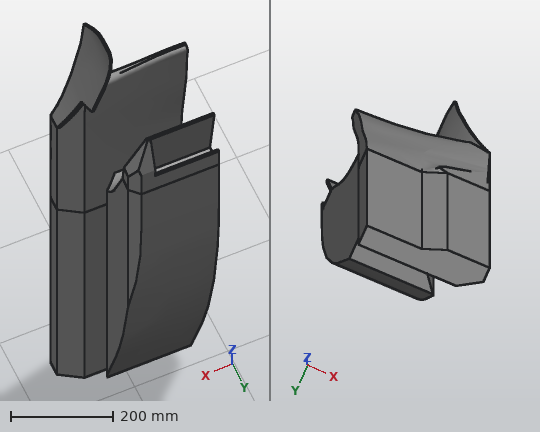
import cadquery as cq

width = 255.0
height = 1305.0
depth = 239.0
seam_z = 610.0
panel_back_y = 60.0
panel_edge_depth = 31.0
panel_corner_x = 209.0

recess_depth = 18.0
recess_x = 117.0
step_x = 165.0

panel_peak_z = 1123.0
panel_shoulder = (200.0, 1065.0)
panel_rim_radius = 9.0
outline_margin = 13.0

wing_thickness = 4.0
wing_foot_z = 911.0
wing_tip_x = 189.0
wing_front_z = 1200.0

core_bottom_z = 47.0
core_bottom_y = 105.0
core_top_z = 911.0
core_width = 187.0
core_front_width = 144.0
scoop_foot_z = 714.0
scoop_top_y = 190.0

collar_peak_z = 1061.0
collar_peak_y = 211.0
collar_wall = 5.0
collar_rear_z = 959.0
collar_end_z = 979.0
channel_length = 137.0
collar_crest_length = 144.0


def panel_section(z, left_y, crease, step, back_left_y, back_corner_y):
    """Closed horizontal section; crease is (x, y) and step is the x where the front reaches y = 0."""
    crease_x, crease_y = crease
    mid_front = (crease_x / 2, left_y + (crease_y - left_y) * 0.3)
    mid_back = (panel_corner_x / 2, back_left_y + (back_corner_y - back_left_y) * 0.3)
    return (
        cq.Workplane("XY", origin=(0, 0, z))
        .moveTo(0, left_y)
        .spline([mid_front, crease], includeCurrent=True)
        .lineTo(step, 0)
        .lineTo(width, 0)
        .lineTo(width, panel_edge_depth)
        .lineTo(panel_corner_x, back_corner_y)
        .spline([mid_back, (0, back_left_y)], includeCurrent=True)
        .close()
        .val()
    )


def wing_path(sketch):
    """Continue a sketch from the wing foot up the inner wing curve to the panel shoulder."""
    return sketch.spline([(214.0, 1005.0), panel_shoulder], includeCurrent=True)


def make_lower_panel():
    return (
        cq.Workplane("XY")
        .polyline([
            (0, recess_depth),
            (recess_x, recess_depth),
            (step_x, 0),
            (width, 0),
            (width, panel_edge_depth),
            (panel_corner_x, panel_back_y),
            (0, panel_back_y),
        ])
        .close()
        .extrude(seam_z)
    )


def make_upper_panel():
    sections = [
        panel_section(seam_z, recess_depth, (recess_x, recess_depth), step_x, panel_back_y, panel_back_y),
        panel_section(679.0, 21.0, (117.0, 18.0), 188.0, panel_back_y, panel_back_y),
        panel_section(725.0, 26.0, (117.0, 18.0), 235.0, panel_back_y, panel_back_y),
        panel_section(783.0, 34.0, (124.0, 21.0), 250.0, panel_back_y, panel_back_y),
        panel_section(913.0, 46.0, (170.0, 20.0), 250.0, 72.0, panel_back_y),
        panel_section(1005.0, 55.0, (214.0, 20.0), 250.0, 84.0, 63.0),
        panel_section(1135.0, 70.0, (235.0, 31.0), 250.0, 98.0, 68.0),
    ]
    blank = cq.Workplane(cq.Solid.makeLoft(sections, False))
    outline = (
        cq.Workplane("XZ", origin=(0, -outline_margin, 0))
        .moveTo(-outline_margin, seam_z - outline_margin)
        .lineTo(width, seam_z - outline_margin)
        .lineTo(width, wing_foot_z)
        .lineTo(width - wing_thickness, wing_foot_z)
    )
    outline = (
        wing_path(outline)
        .spline(
            [(112.0, 1099.0), (37.0, 1121.0), (0, panel_peak_z)],
            includeCurrent=True,
        )
        .lineTo(-outline_margin, panel_peak_z)
        .close()
        .extrude(-depth)
    )
    panel = blank.intersect(outline)
    rim = panel.edges(cq.selectors.BoxSelector(
        (panel_shoulder[0] / 4, 0, panel_shoulder[1]),
        (panel_shoulder[0] * 3 / 4, depth, height),
    ))
    return rim.fillet(panel_rim_radius)


def make_wing():
    inner = cq.Workplane("XZ").moveTo(width - wing_thickness, wing_foot_z)
    sheet = (
        wing_path(inner)
        .spline([(188.0, 1122.0), (179.0, 1205.0), (wing_tip_x, height)], includeCurrent=True)
        .lineTo(wing_tip_x + wing_thickness, height)
        .spline(
            [(183.0, 1205.0), (192.0, 1122.0), (204.0, 1065.0), (218.0, 1005.0), (width, wing_foot_z)],
            includeCurrent=True,
        )
        .close()
        .extrude(-depth)
    )
    outline = (
        cq.Workplane("YZ")
        .moveTo(0, wing_foot_z)
        .lineTo(0, wing_front_z)
        .lineTo(75.0, 1275.0)
        .spline([(112.0, 1302.0), (123.0, height), (133.0, 1292.0)], includeCurrent=True)
        .lineTo(98.0, 1037.0)
        .lineTo(57.0, 1018.0)
        .lineTo(panel_edge_depth, wing_foot_z)
        .close()
        .extrude(width)
    )
    return sheet.intersect(outline)


def rear_plan():
    """Vertical prism with the plan outline shared by the core and the collar."""
    return (
        cq.Workplane("XY")
        .polyline([
            (0, panel_back_y),
            (core_front_width, panel_back_y),
            (183.0, 110.0),
            (core_width, 219.0),
            (167.0, depth),
            (0, depth),
        ])
        .close()
        .extrude(height)
    )


def make_core():
    profile = (
        cq.Workplane("YZ")
        .moveTo(panel_back_y, core_bottom_z)
        .lineTo(core_bottom_y, core_bottom_z)
        .spline(
            [(153.0, 190.0), (195.0, 343.0), (235.0, 634.0), (depth, 783.0)],
            tangents=[(0.3, 1), (0, 1)],
            includeCurrent=True,
        )
        .lineTo(depth, core_top_z)
        .lineTo(scoop_top_y, core_top_z)
        .spline(
            [(172.0, 866.0), (153.0, 817.0), (125.0, 765.0), (93.0, 731.0), (panel_back_y, scoop_foot_z)],
            includeCurrent=True,
        )
        .close()
        .extrude(core_width)
    )
    return profile.intersect(rear_plan())


def make_collar():
    block = (
        cq.Workplane("YZ")
        .polyline([
            (scoop_top_y, core_top_z),
            (collar_peak_y, collar_peak_z),
            (collar_peak_y + collar_wall, collar_peak_z),
            (depth, collar_end_z),
            (depth, core_top_z),
        ])
        .close()
        .extrude(core_width)
    )
    channel = (
        cq.Workplane("YZ")
        .polyline([
            (scoop_top_y + collar_wall, core_top_z),
            (collar_peak_y + collar_wall, collar_peak_z),
            (depth, collar_peak_z),
            (depth, collar_rear_z),
            (depth - collar_wall, collar_rear_z),
            (depth - collar_wall, core_top_z),
        ])
        .close()
        .extrude(channel_length)
    )
    end_slope = (
        cq.Workplane("XZ")
        .polyline([
            (collar_crest_length, collar_peak_z),
            (core_width, collar_peak_z),
            (core_width, collar_rear_z),
        ])
        .close()
        .extrude(-depth)
    )
    return block.cut(channel).cut(end_slope).intersect(rear_plan())


lower_panel = make_lower_panel()
upper_panel = make_upper_panel()
wing = make_wing()
core = make_core().cut(upper_panel)
collar = make_collar()
result = cq.Compound.makeCompound([
    lower_panel.val(),
    upper_panel.val(),
    wing.val(),
    core.val(),
    collar.val(),
])